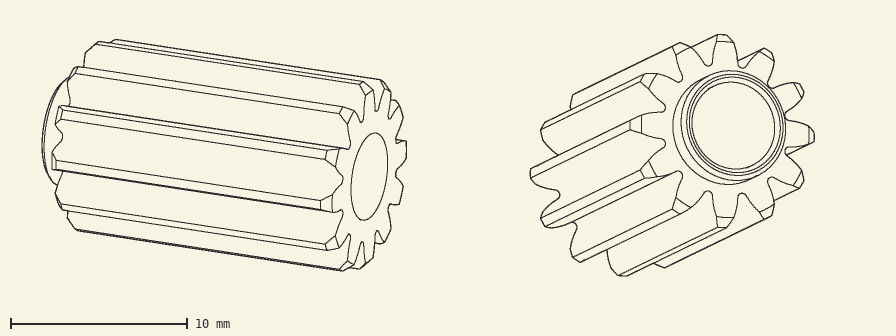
import cadquery as cq
import math

total_length = 19.05
collar_length = 1.6
gear_length = total_length - collar_length

tip_diameter = 11.1
collar_diameter = 6.3
bore_diameter = 5.0

tooth_chamfer = 0.5
collar_chamfer = 0.25

tooth_count = 12
tip_half_width = 0.27
flank_half_width = 0.63
flank_height = 4.72
foot_half_width = 0.76
foot_height = 3.89
root_radius = 3.73

tip_radius = tip_diameter / 2
tooth_pitch = 2 * math.pi / tooth_count
tip_height = math.sqrt(tip_radius**2 - tip_half_width**2)


def turned(across, height, tooth):
    """Turn a point of the upright tooth clockwise to the place of the given tooth."""
    angle = tooth * tooth_pitch
    return (
        across * math.cos(angle) + height * math.sin(angle),
        height * math.cos(angle) - across * math.sin(angle),
    )


def gear_outline():
    """Closed outline of the teeth: rounded tips, arc flanks and one arc in each root."""
    outline = cq.Workplane("YZ", origin=(collar_length, 0, 0)).moveTo(-tip_half_width, tip_height)
    for tooth in range(tooth_count):
        outline = (
            outline
            .threePointArc(turned(0, tip_radius, tooth), turned(tip_half_width, tip_height, tooth))
            .threePointArc(
                turned(flank_half_width, flank_height, tooth),
                turned(foot_half_width, foot_height, tooth),
            )
            .threePointArc(
                turned(0, root_radius, tooth + 0.5),
                turned(-foot_half_width, foot_height, tooth + 1),
            )
            .threePointArc(
                turned(-flank_half_width, flank_height, tooth + 1),
                turned(-tip_half_width, tip_height, tooth + 1),
            )
        )
    return outline.close()


def chamfered_blank():
    """Cylinder of the tip diameter with both rims chamfered, used to trim the tooth ends."""
    return (
        cq.Workplane("YZ", origin=(collar_length, 0, 0))
        .circle(tip_radius)
        .extrude(gear_length)
        .edges("%CIRCLE")
        .chamfer(tooth_chamfer)
    )


def collar():
    """Round core through the gear that stands out at the -X end as a collar with a chamfered rim."""
    return (
        cq.Workplane("YZ")
        .circle(collar_diameter / 2)
        .extrude(total_length)
        .faces("<X")
        .chamfer(collar_chamfer)
    )


def bore():
    """Through bore with a countersunk mouth in the collar end."""
    mouth_radius = bore_diameter / 2 + collar_chamfer
    hole = cq.Workplane("YZ").circle(bore_diameter / 2).extrude(total_length)
    mouth = cq.Workplane(
        cq.Solid.makeCone(
            mouth_radius, bore_diameter / 2, collar_chamfer, cq.Vector(0, 0, 0), cq.Vector(1, 0, 0)
        )
    )
    return hole.union(mouth)


gear = gear_outline().extrude(gear_length).intersect(chamfered_blank())
result = gear.union(collar()).cut(bore())